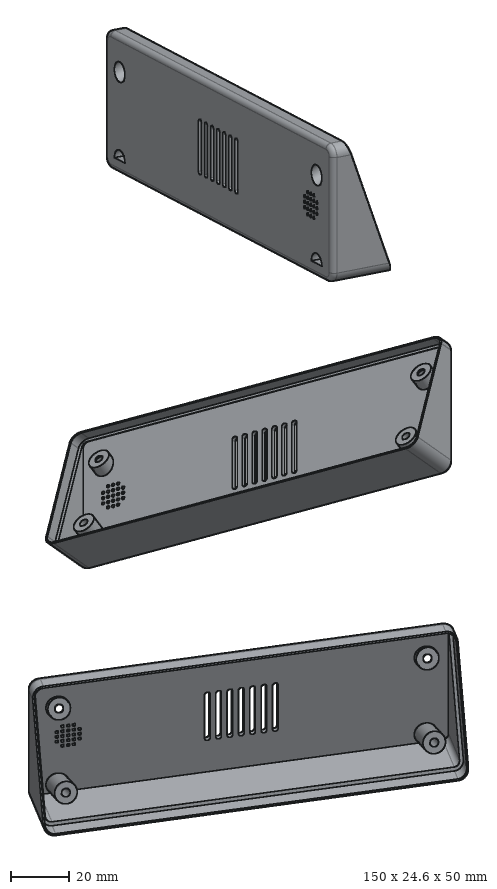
import cadquery as cq
import math

LENGTH = 150.0
HEIGHT = 50.0
BASE_DEPTH = 24.6
BACK_ANGLE = 20.0
CORNER_RADIUS = 4.0
FRONT_FILLET = 2.0

WALL = 2.0
LIP_WALL = 0.63
LIP_DEPTH = 4.6

POST_DIAMETER = 8.0
SCREW_DIAMETER = 3.0
COUNTERBORE_DIAMETER = 6.9
LOWER_COUNTERBORE_DEPTH = 4.0
UPPER_COUNTERBORE_DEPTH = 4.6
POST_X = 65.0
LOWER_POST_Z = 5.0
POST_SPACING = 30.0
LOWER_POST_END_DEPTH = 5.7
UPPER_POST_END_DEPTH = 5.2

SLOT_COUNT = 7
SLOT_WIDTH = 2.0
SLOT_LENGTH = 20.0
SLOT_SPREAD = 24.0
SLOT_PITCH = SLOT_SPREAD / (SLOT_COUNT - 1)

GRILLE_X = 61.0
GRILLE_REACH = 2
GRILLE_HOLE_DIAMETER = 1.0
GRILLE_PITCH = 2 * GRILLE_HOLE_DIAMETER

MID_Z = HEIGHT / 2
SLOPE = math.tan(math.radians(BACK_ANGLE))
COS_BACK = math.cos(math.radians(BACK_ANGLE))
SIN_BACK = math.sin(math.radians(BACK_ANGLE))
UPPER_POST_Z = LOWER_POST_Z + POST_SPACING / COS_BACK


def front_plane(y=0.0):
    """Plane parallel to the front face, centred on it, with its normal along +Y."""
    return cq.Plane(origin=(0, y, MID_Z), xDir=(1, 0, 0), normal=(0, 1, 0))


def rounded_block(inset, start_y, corner_radius):
    """Block with rounded corners, inset from the outline, running back from start_y."""
    return (
        cq.Workplane(front_plane(start_y))
        .rect(LENGTH - 2 * inset, HEIGHT - 2 * inset)
        .extrude(BASE_DEPTH - start_y)
        .edges("|Y")
        .fillet(corner_radius)
    )


def wedge_below_back(depth):
    """Everything in front of a plane lying the given depth below the sloping back."""
    base_y = BASE_DEPTH - depth / COS_BACK
    front_y = -BASE_DEPTH
    top_z = 2 * HEIGHT
    bottom_z = -HEIGHT
    return (
        cq.Workplane("YZ")
        .moveTo(front_y, bottom_z)
        .lineTo(base_y - SLOPE * bottom_z, bottom_z)
        .lineTo(base_y - SLOPE * top_z, top_z)
        .lineTo(front_y, top_z)
        .close()
        .extrude(LENGTH, both=True)
    )


def post_cylinder(x, z, diameter, start, length):
    """Cylinder on a post axis; start is measured along the axis from the front face."""
    origin = (x, start * COS_BACK, z + start * SIN_BACK)
    axis_plane = cq.Plane(origin=origin, xDir=(1, 0, 0), normal=(0, COS_BACK, SIN_BACK))
    return cq.Workplane(axis_plane).circle(diameter / 2).extrude(length)


outer = rounded_block(0, 0, CORNER_RADIUS).faces("<Y").edges().fillet(FRONT_FILLET)
outer = outer.intersect(wedge_below_back(0))
cavity = rounded_block(WALL, WALL, CORNER_RADIUS - WALL)
lip_recess = rounded_block(LIP_WALL, 0, CORNER_RADIUS - LIP_WALL).cut(wedge_below_back(LIP_DEPTH))
body = outer.cut(cavity).cut(lip_recess)

post_rows = [
    (LOWER_POST_Z, LOWER_POST_END_DEPTH, LOWER_COUNTERBORE_DEPTH),
    (UPPER_POST_Z, UPPER_POST_END_DEPTH, UPPER_COUNTERBORE_DEPTH),
]
flat_plane = cq.Workplane("XY", origin=(0, 0, LOWER_POST_Z))
above_flat = flat_plane.rect(2 * LENGTH, 2 * LENGTH).extrude(HEIGHT)
for z, end_depth, counterbore_depth in post_rows:
    post_space = outer.intersect(wedge_below_back(end_depth))
    for x in (-POST_X, POST_X):
        post = post_cylinder(x, z, POST_DIAMETER, -BASE_DEPTH, 3 * BASE_DEPTH)
        counterbore = post_cylinder(
            x, z, COUNTERBORE_DIAMETER, -COUNTERBORE_DIAMETER, COUNTERBORE_DIAMETER + counterbore_depth
        )
        screw_hole = post_cylinder(x, z, SCREW_DIAMETER, counterbore_depth, BASE_DEPTH)
        body = body.union(post.intersect(post_space))
        body = body.cut(counterbore.intersect(above_flat)).cut(screw_hole)

slots = (
    cq.Workplane(front_plane())
    .rarray(SLOT_PITCH, 1.5, SLOT_COUNT, 1)
    .slot2D(SLOT_LENGTH, SLOT_WIDTH, 90)
    .extrude(WALL)
)

grille_steps = range(-GRILLE_REACH, GRILLE_REACH + 1)
grille_points = [
    (GRILLE_X + column * GRILLE_PITCH, row * GRILLE_PITCH)
    for column in grille_steps
    for row in grille_steps
    if abs(column) + abs(row) < 2 * GRILLE_REACH
]
grille = (
    cq.Workplane(front_plane())
    .pushPoints(grille_points)
    .circle(GRILLE_HOLE_DIAMETER / 2)
    .extrude(WALL)
)

result = body.cut(slots).cut(grille)